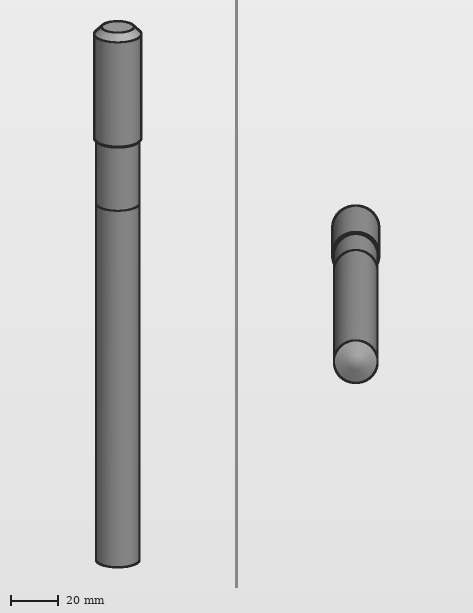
import cadquery as cq
import math

total_length = 243.0
shank_radius = 10.0
drill_radius = 9.2

split_height = 163.8
shoulder_height = 193.0
neck_top_height = shoulder_height - (shank_radius - drill_radius)
shank_chamfer = 3.2

point_angle = 140.0
point_height = drill_radius / math.tan(math.radians(point_angle / 2))


def make_drill_body():
    """Plain round body with its conical point at the origin."""
    return (
        cq.Workplane("XZ")
        .moveTo(0, 0)
        .lineTo(drill_radius, point_height)
        .lineTo(drill_radius, split_height)
        .lineTo(0, split_height)
        .close()
        .revolve(360, (0, 0), (0, 1))
    )


def make_shank():
    """Neck as wide as the drill body, a conical shoulder, and a shank chamfered at its top."""
    return (
        cq.Workplane("XZ")
        .moveTo(0, split_height)
        .lineTo(drill_radius, split_height)
        .lineTo(drill_radius, neck_top_height)
        .lineTo(shank_radius, shoulder_height)
        .lineTo(shank_radius, total_length - shank_chamfer)
        .lineTo(shank_radius - shank_chamfer, total_length)
        .lineTo(0, total_length)
        .close()
        .revolve(360, (0, 0), (0, 1))
    )


drill_body = make_drill_body()
shank = make_shank()

result = cq.Compound.makeCompound([drill_body.val(), shank.val()])